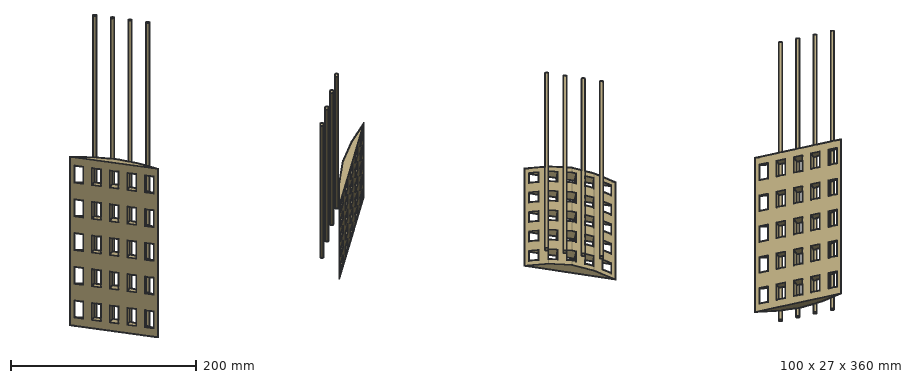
import cadquery as cq
import math

ROD_LENGTH = 360.0
ROD_DIAMETER = 4.0
TOTAL_DEPTH = 27.0
PANEL_HEIGHT = 200.0
PANEL_WIDTH = PANEL_HEIGHT / 2
PANEL_RISE = 10.0
BACK_FACETS = 4
COLUMNS = 5
ROWS = 5

COLUMN_PITCH = PANEL_WIDTH / COLUMNS
ROW_PITCH = PANEL_HEIGHT / ROWS
WINDOW_WIDTH = COLUMN_PITCH / 2
WINDOW_HEIGHT = ROW_PITCH / 2
WINDOW_SILL = WINDOW_HEIGHT / 2

ROD_COUNT = COLUMNS - 1
ROD_Y = TOTAL_DEPTH - ROD_DIAMETER / 2


def centered_positions(count, pitch):
    """Evenly spaced positions, symmetric about zero."""
    return [(i - (count - 1) / 2) * pitch for i in range(count)]


def make_window(x, sill_z):
    """Rectangular cutter that passes through the full panel thickness."""
    return (
        cq.Workplane("XY")
        .box(WINDOW_WIDTH, PANEL_RISE, WINDOW_HEIGHT, centered=(True, False, False))
        .translate((x, 0, sill_z))
    )


def back_outline():
    """Corners of the back, equally spaced along X on a half sine wave."""
    return [
        (PANEL_WIDTH * (i / BACK_FACETS - 0.5), PANEL_RISE * math.sin(math.pi * i / BACK_FACETS))
        for i in range(BACK_FACETS + 1)
    ]


def make_panel():
    """Upright panel with a flat front, a faceted bulging back and a grid of windows."""
    panel = cq.Workplane("XY").polyline(back_outline()).close().extrude(PANEL_HEIGHT)
    for x in centered_positions(COLUMNS, COLUMN_PITCH):
        for row in range(ROWS):
            panel = panel.cut(make_window(x, WINDOW_SILL + row * ROW_PITCH))
    return panel


def make_rod(x):
    """Plain round rod standing level with the panel's bottom edge."""
    return cq.Workplane("XY").center(x, ROD_Y).circle(ROD_DIAMETER / 2).extrude(ROD_LENGTH)


panel = make_panel()
rods = [make_rod(x) for x in centered_positions(ROD_COUNT, COLUMN_PITCH)]

result = cq.Compound.makeCompound([panel.val(), *[rod.val() for rod in rods]])